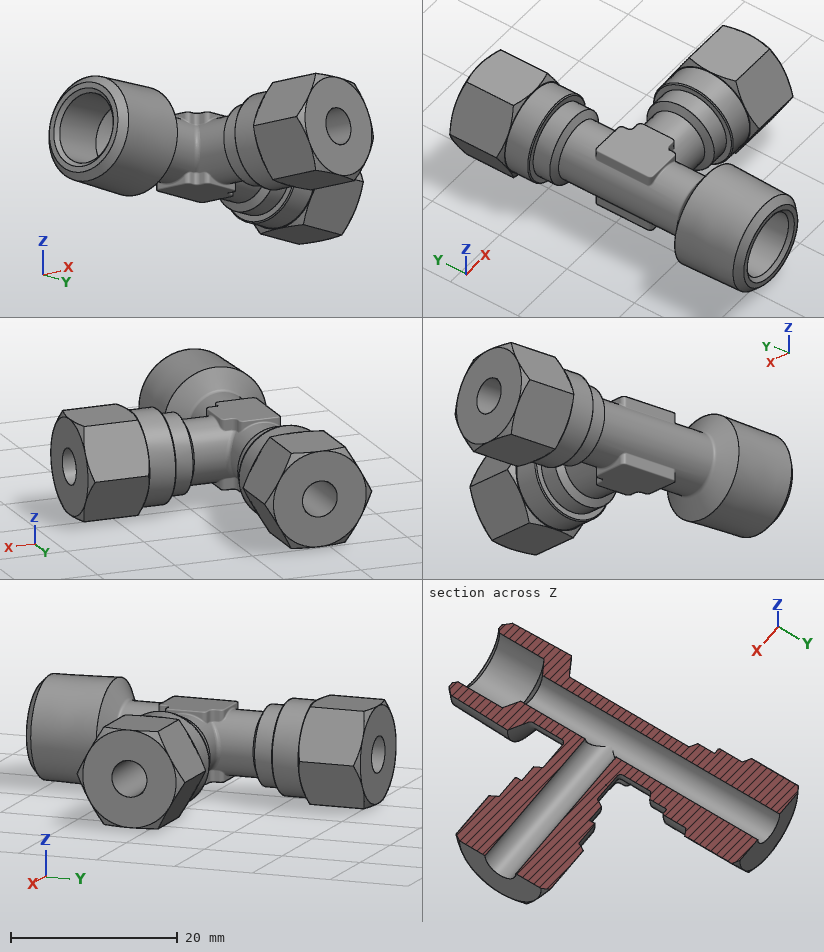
import cadquery as cq
import math


PIPE_RADIUS = 4.0
BORE_RADIUS = 2.25
NUT_END = 23.09
STUD_END = 20.0
JUNCTION_FILLET = 0.5

HEX_ACROSS_FLATS = 12.0
HEX_LENGTH = 8.0
HEX_CHAMFER_ANGLE = math.radians(30)
COLLAR_RADIUS = 5.9
COLLAR_LENGTH = 3.5
COLLAR_CHAMFER = 0.15
SHOULDER_RADIUS = 5.0
SHOULDER_START = 8.55
FLANK_ANGLE = math.radians(60)

STUD_LARGE_RADIUS = 6.665
STUD_SMALL_RADIUS = 6.43
STUD_LENGTH = 9.42
STUD_CHAMFER = 0.92
STUD_NECK_FILLET = 0.5

SOCKET_RADIUS = 4.3
SOCKET_MOUTH_RADIUS = 4.8
SOCKET_MOUTH_DEPTH = 0.5
SOCKET_DEPTH = 7.0
SOCKET_CONE_ANGLE = math.radians(59)

PAD_HALF_WIDTH = 2.68
PAD_RUN_HALF_LENGTH = 4.22
PAD_BRANCH_LENGTH = 4.45
PAD_HEIGHT = 4.47
PAD_CORNER_RADIUS = 0.55
PAD_TOP_FILLET = 0.15
PAD_FOOT_FILLET = 0.2


def revolve_about_y(points):
    """Solid of revolution about Y from (radius, y) points; closes along the axis."""
    return cq.Workplane("XY").polyline(points).close().revolve(360, (0, 0, 0), (0, 1, 0))


def onto_branch(arm):
    """Turn an arm that lies along +Y so that it lies along +X."""
    return arm.rotate((0, 0, 0), (0, 0, 1), -90)


def make_pipe(length):
    """Plain round pipe along +Y from the tee centre."""
    return cq.Workplane("XZ").circle(PIPE_RADIUS).extrude(-length)


def make_hexagon():
    """Hexagon along Y with flats facing +Z and -Z, both ends turned down to the flats."""
    flat_radius = HEX_ACROSS_FLATS / 2
    corner_radius = flat_radius / math.cos(math.pi / 6)
    chamfer_length = (corner_radius - flat_radius) * math.tan(HEX_CHAMFER_ANGLE)
    start = NUT_END - HEX_LENGTH
    prism = (
        cq.Workplane("XZ", origin=(0, start, 0))
        .polygon(6, 2 * corner_radius)
        .extrude(-HEX_LENGTH)
    )
    envelope = revolve_about_y([
        (0, start),
        (flat_radius, start),
        (corner_radius, start + chamfer_length),
        (corner_radius, NUT_END - chamfer_length),
        (flat_radius, NUT_END),
        (0, NUT_END),
    ])
    return prism.intersect(envelope)


def make_nut_end():
    """Shoulder, collar and hexagon of one nut end, along +Y."""
    hex_start = NUT_END - HEX_LENGTH
    collar_start = hex_start - COLLAR_LENGTH
    flank_length = (SHOULDER_RADIUS - PIPE_RADIUS) / math.tan(FLANK_ANGLE)
    turned = revolve_about_y([
        (0, SHOULDER_START),
        (PIPE_RADIUS, SHOULDER_START),
        (SHOULDER_RADIUS, SHOULDER_START + flank_length),
        (SHOULDER_RADIUS, collar_start),
        (COLLAR_RADIUS - COLLAR_CHAMFER, collar_start),
        (COLLAR_RADIUS, collar_start + COLLAR_CHAMFER),
        (COLLAR_RADIUS, hex_start),
        (0, hex_start),
    ])
    return turned.union(make_hexagon())


def make_stud():
    """Pipe along -Y that flares into the tapered male stud, with a rounded neck."""
    shoulder_y = STUD_LENGTH - STUD_END
    neck_y = shoulder_y + (STUD_LARGE_RADIUS - PIPE_RADIUS) / math.tan(FLANK_ANGLE)
    half_turn = FLANK_ANGLE / 2
    tangent = STUD_NECK_FILLET * math.tan(half_turn)
    arc_middle = (
        PIPE_RADIUS + STUD_NECK_FILLET * (1 - math.cos(half_turn)),
        neck_y + tangent - STUD_NECK_FILLET * math.sin(half_turn),
    )
    arc_end = (
        PIPE_RADIUS + tangent * math.sin(FLANK_ANGLE),
        neck_y - tangent * math.cos(FLANK_ANGLE),
    )
    return (
        cq.Workplane("XY")
        .moveTo(0, 0)
        .lineTo(PIPE_RADIUS, 0)
        .lineTo(PIPE_RADIUS, neck_y + tangent)
        .threePointArc(arc_middle, arc_end)
        .lineTo(STUD_LARGE_RADIUS, shoulder_y)
        .lineTo(STUD_SMALL_RADIUS, STUD_CHAMFER - STUD_END)
        .lineTo(STUD_SMALL_RADIUS - STUD_CHAMFER, -STUD_END)
        .lineTo(0, -STUD_END)
        .close()
        .revolve(360, (0, 0, 0), (0, 1, 0))
    )


def make_pad():
    """T-shaped pad standing on the upper side of the junction."""
    run_bar = cq.Workplane("XY").rect(2 * PAD_HALF_WIDTH, 2 * PAD_RUN_HALF_LENGTH).extrude(PAD_HEIGHT)
    branch_bar = (
        cq.Workplane("XY")
        .center(PAD_BRANCH_LENGTH / 2, 0)
        .rect(PAD_BRANCH_LENGTH, 2 * PAD_HALF_WIDTH)
        .extrude(PAD_HEIGHT)
    )
    outline_block = run_bar.union(branch_bar)
    rounded_block = outline_block.edges("|Z").fillet(PAD_CORNER_RADIUS)
    return rounded_block.faces(">Z").edges().fillet(PAD_TOP_FILLET)


def make_socket():
    """Stepped, cone-bottomed hollow that opens at the end of the stud."""
    bottom_y = SOCKET_DEPTH - STUD_END
    return revolve_about_y([
        (0, -STUD_END),
        (SOCKET_MOUTH_RADIUS, -STUD_END),
        (SOCKET_RADIUS, SOCKET_MOUTH_DEPTH - STUD_END),
        (SOCKET_RADIUS, bottom_y),
        (0, bottom_y + SOCKET_RADIUS / math.tan(SOCKET_CONE_ANGLE)),
    ])


def make_bore(length):
    """Through-bore along +Y from the tee centre."""
    return cq.Workplane("XZ").circle(BORE_RADIUS).extrude(-length)


def round_junction(body):
    """Round the corners where the branch meets the run, outside the pads."""
    corners = cq.selectors.BoxSelector(
        (PAD_HALF_WIDTH, -PIPE_RADIUS, -PIPE_RADIUS),
        (PIPE_RADIUS, PIPE_RADIUS, PIPE_RADIUS),
    )
    return body.edges("%ELLIPSE").edges(corners).fillet(JUNCTION_FILLET)


def round_pad_feet(body):
    """Round the pads into the pipes along the foot of their walls."""
    feet_bottom = math.sqrt(PIPE_RADIUS**2 - PAD_HALF_WIDTH**2) - JUNCTION_FILLET
    y_reach = PAD_RUN_HALF_LENGTH + PAD_FOOT_FILLET
    x_reach = PAD_BRANCH_LENGTH + PAD_FOOT_FILLET
    for side in (1, -1):
        feet = cq.selectors.BoxSelector(
            (-PIPE_RADIUS, -y_reach, side * feet_bottom),
            (x_reach, y_reach, side * PIPE_RADIUS),
        )
        body = body.edges(feet).edges("not |Z").fillet(PAD_FOOT_FILLET)
    return body


pad = make_pad()
tee = make_stud().union(make_pipe(NUT_END)).union(onto_branch(make_pipe(NUT_END)))
tee = tee.union(pad).union(pad.mirror("XY"))
tee = round_pad_feet(round_junction(tee))

nut_end = make_nut_end()
tee = tee.union(nut_end).union(onto_branch(nut_end))

tee = tee.cut(make_socket()).cut(make_bore(NUT_END)).cut(make_bore(-STUD_END))
result = tee.cut(onto_branch(make_bore(NUT_END)))